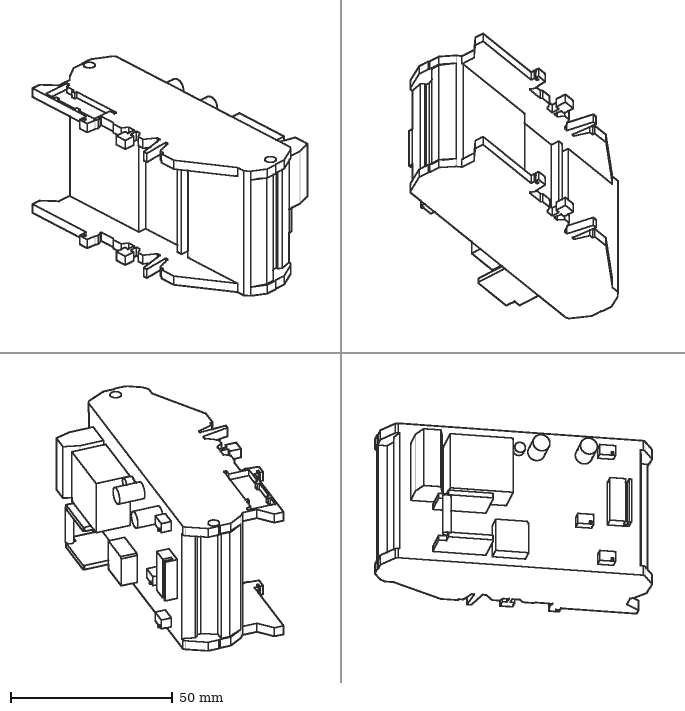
import cadquery as cq

height = 45.0
depth = 48.1
plate_thickness = 3.2
deck = 35.1
top_plate_z = height - plate_thickness

core_left = 0.5
core_right = 85.65
core_bottom = 14.65
core_recess = 17.6
recess_left = 35.3
rib_left = 52.4
rib_right = 54.2
recess_right = 57.05

left_bevel_top = (3.1, 16.0)
left_bevel_foot = (4.7, core_bottom)
right_bevel_foot = (81.9, core_bottom)
right_bevel_top = (83.6, 16.0)
left_bevel_slope = (left_bevel_foot[1] - left_bevel_top[1]) / (left_bevel_foot[0] - left_bevel_top[0])
foot_root_x = 4.5
foot_root_y = left_bevel_top[1] + left_bevel_slope * (foot_root_x - left_bevel_top[0])

screw_pocket_diameter = 3.5
screw_pocket_depth = 2.8
screw_pocket_y = 25.4
screw_pocket_xs = (2.3, 82.7)
label_pocket_depth = 2.15

trimmer_length = 5.0
trimmer_width = 3.3
trimmer_height = 3.4
trimmer_screw_diameter = 0.8
trimmer_screw_height = 0.6
trimmer_screw_x = 1.0
trimmer_screw_z = 0.5
trimmer_places = ((13.5, 38.0), (20.4, 14.5), (13.5, 2.6))

can_diameter = 3.4
can_top = 38.4
can_bottom = 35.8
can_x = 43.7
leg_diameter = 0.6
leg_pitch = 1.0

post_diameter = 5.3
post_height = 8.45
post_z = 38.4
post_xs = (22.9, 37.9)

slotted_left = 8.6
slotted_right = 15.4
slotted_height = 4.1
slotted_low_z = 15.9
slotted_high_z = 30.2
slot_left = 9.4
slot_right = 10.5
slot_floor = 36.4

socket_left = 41.4
socket_side = 10.4
socket_height = 5.4
socket_low_z = 2.6
socket_chamfer = 0.5

relay_left = 47.4
relay_right = 67.3
relay_top = 46.45
relay_low_z = 20.0
relay_high_z = 38.1

plug_left = 69.1
plug_right = 77.6
plug_shoulder = 43.0
plug_top_left = 70.6
plug_top_right = 76.0
plug_low_z = 19.5
plug_high_z = 38.4

cheek_left = 53.85
cheek_right = 68.2
cheek_foot_right = 70.7
cheek_foot_top = 44.8
cheek_bevel_x = 0.3
cheek_bevel_y = 0.5
cheek_thickness = 1.55
bail_low_z = 2.9
bail_high_z = 18.5
bar_diameter = 2.7
bar_x = 68.4


def prism(points, low_z, high_z):
    """Solid between two Z levels with the given XY outline."""
    return cq.Workplane("XY").workplane(offset=low_z).polyline(points).close().extrude(high_z - low_z)


def block(low_x, high_x, low_y, high_y, low_z, high_z):
    """Box between the given limits."""
    size = (high_x - low_x, high_y - low_y, high_z - low_z)
    return cq.Workplane("XY").box(*size, centered=False).translate((low_x, low_y, low_z))


def peg(x, z, low_y, high_y, diameter):
    """Round pin standing along Y."""
    base = cq.Workplane("XZ", origin=(x, low_y, z))
    return base.circle(diameter / 2).extrude(low_y - high_y)


def make_end_plate(low_z):
    """End plate with the rail hooks and spring tongues along its low-Y edge."""
    deck_edge = [(81.5, deck), (4.05, deck), (3.5, 34.55)]
    left_end = [(0, 28.3), (0, 24.65), (0.2, 24.2), (0.2, 20.6), left_bevel_top, (foot_root_x, foot_root_y)]
    foot = [(foot_root_x, 10.1), (0, 6.0), (0, 2.9), (23.95, 2.9)]
    foot_hook = [
        (23.95, 1.6), (25.25, 1.6), (25.25, 1.0), (23.95, 1.0), (23.95, 0),
        (27.3, 0), (27.6, 3.1), (27.9, 4.2), (27.2, 5.9), (27.2, 6.2),
    ]
    stop_gap = [(32.7, 6.2), (33.2, 5.7), (36.6, 5.7), (37.8, 7.7), (40.3, 7.7)]
    stop = [(40.3, 5.0), (38.95, 5.0), (38.95, 1.3), (42.9, 1.3), (42.9, 5.0), (41.5, 5.0), (41.3, 7.7)]
    tongue_gap = [(42.9, 7.7), (44.1, 5.7), (46.3, 5.7), (48.8, 9.5), (50.0, 9.5)]
    tongue = [(51.9, 0.5), (53.25, 0.5), (52.6, 9.5), (53.4, 9.5)]
    rail_hook = [(55.15, 4.5), (56.5, 4.5), (56.5, 3.6), (62.0, 3.6), (79.1, core_bottom)]
    right_end = [
        right_bevel_foot, right_bevel_top, (86.2, 20.6), (86.2, 24.2),
        (85.9, 24.65), (85.9, 28.3), (82.5, 34.55),
    ]
    outline = (
        deck_edge + left_end + foot + foot_hook + stop_gap + stop
        + tongue_gap + tongue + rail_hook + right_end
    )
    return prism(outline, low_z, low_z + plate_thickness)


def make_core():
    """Block between the end plates, with a screw groove along each side and a ribbed rail face."""
    outline = [
        (5.1, deck), (4.0, 30.9), (4.8, 29.9), (5.4, 29.9), (5.4, 28.6), (3.3, 23.7),
        (core_left, 23.7), (core_left, 20.85), left_bevel_top, left_bevel_foot,
        (recess_left, core_bottom), (recess_left, core_recess),
        (rib_left, core_recess), (rib_left, core_bottom),
        (rib_right, core_bottom), (rib_right, core_recess),
        (recess_right, core_recess), (recess_right, core_bottom),
        right_bevel_foot, right_bevel_top, (core_right, 20.85), (core_right, 23.7),
        (82.9, 23.7), (80.7, 28.6), (80.7, 29.9), (81.35, 29.9), (82.2, 30.9), (81.1, deck),
    ]
    return prism(outline, plate_thickness, top_plate_z)


def make_label_pocket():
    """Label recess with latch notches, sunk into the top plate."""
    outline = [
        (5.3, 12.75), (6.4, 12.75), (6.9, 11.2), (10.0, 11.2), (10.0, 10.3), (11.2, 10.3), (11.2, 11.2),
        (28.9, 11.2), (28.9, 10.3), (26.8, 10.3), (26.8, 3.6),
        (19.8, 3.6), (19.8, 4.4), (18.2, 4.4), (18.2, 3.6),
        (10.5, 3.6), (10.5, 4.4), (9.1, 4.4), (9.1, 3.6), (5.3, 3.6),
    ]
    return prism(outline, height - label_pocket_depth, height)


def make_screw_pockets():
    """Blind round pockets at both ends of the top plate."""
    centres = [(x, screw_pocket_y) for x in screw_pocket_xs]
    floor = cq.Workplane("XY").workplane(offset=height - screw_pocket_depth)
    return floor.pushPoints(centres).circle(screw_pocket_diameter / 2).extrude(screw_pocket_depth)


def make_trimmer(low_x, low_z):
    """Small box with an adjusting screw near one corner."""
    trimmer_top = deck + trimmer_height
    body = block(low_x, low_x + trimmer_length, deck, trimmer_top, low_z, low_z + trimmer_width)
    screw = peg(
        low_x + trimmer_screw_x,
        low_z + trimmer_screw_z,
        trimmer_top,
        trimmer_top + trimmer_screw_height,
        trimmer_screw_diameter,
    )
    return body.union(screw)


def make_transistor():
    """Round can held off the deck by three legs."""
    transistor = peg(can_x, post_z, can_bottom, can_top, can_diameter)
    for step in (-1, 0, 1):
        leg = peg(can_x + step * leg_pitch, post_z, deck, can_bottom, leg_diameter)
        transistor = transistor.union(leg)
    return transistor


def make_housing():
    """Core and end plates in one piece, with the small fittings moulded on the deck."""
    housing = make_core().union(make_end_plate(0)).union(make_end_plate(top_plate_z))
    housing = housing.cut(make_label_pocket()).cut(make_screw_pockets())
    for low_x, low_z in trimmer_places:
        housing = housing.union(make_trimmer(low_x, low_z))
    return housing.union(make_transistor())


def make_slotted_block():
    """Terminal block with a slot running along Z."""
    block_top = deck + slotted_height
    body = block(slotted_left, slotted_right, deck, block_top, slotted_low_z, slotted_high_z)
    slot = block(slot_left, slot_right, slot_floor, block_top, slotted_low_z, slotted_high_z)
    return body.cut(slot)


def make_socket():
    """Square socket with one chamfered upright corner."""
    body = block(
        socket_left, socket_left + socket_side,
        deck, deck + socket_height,
        socket_low_z, socket_low_z + socket_side,
    )
    return body.edges("|Y").edges("<X").edges(">Z").chamfer(socket_chamfer)


def make_relay():
    """Plain relay box."""
    return block(relay_left, relay_right, deck, relay_top, relay_low_z, relay_high_z)


def make_plug():
    """Plug that tapers above its shoulders."""
    outline = [
        (plug_left, deck), (plug_left, plug_shoulder), (plug_top_left, depth),
        (plug_top_right, depth), (plug_right, plug_shoulder), (plug_right, deck),
    ]
    return prism(outline, plug_low_z, plug_high_z)


def make_bail():
    """Two upright cheeks joined near the top by a round bar."""
    outline = [
        (cheek_left, deck), (cheek_left, depth - cheek_bevel_y), (cheek_left + cheek_bevel_x, depth),
        (cheek_right, depth), (cheek_right, cheek_foot_top),
        (cheek_foot_right, cheek_foot_top), (cheek_foot_right, deck),
    ]
    low_cheek = prism(outline, bail_low_z, bail_low_z + cheek_thickness)
    high_cheek = prism(outline, bail_high_z - cheek_thickness, bail_high_z)
    bar_start = cq.Workplane("XY", origin=(bar_x, depth - bar_diameter / 2, bail_low_z + cheek_thickness))
    bar_length = bail_high_z - bail_low_z - 2 * cheek_thickness
    bar = bar_start.circle(bar_diameter / 2).extrude(bar_length)
    return low_cheek.union(bar).union(high_cheek)


housing = make_housing()
posts = [peg(x, post_z, deck, deck + post_height, post_diameter) for x in post_xs]
slotted_block = make_slotted_block()
socket = make_socket()
relay = make_relay()
plug = make_plug()
bail = make_bail()

result = cq.Compound.makeCompound([
    housing.val(),
    *[post.val() for post in posts],
    slotted_block.val(),
    socket.val(),
    relay.val(),
    plug.val(),
    bail.val(),
])